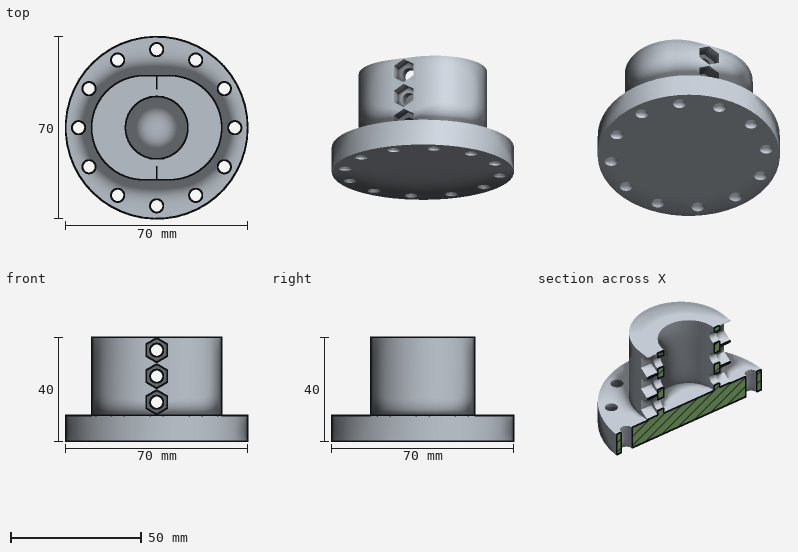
import cadquery as cq

flange_diameter = 70.0
flange_thickness = 10.0
bolt_circle_diameter = 60.0
bolt_hole_count = 12
bolt_hole_diameter = 5.0

hub_length = 50.0
hub_width = 40.0
hub_height = 30.0

bore_diameter = 24.0
bore_depth = hub_height

screw_count = 3
screw_pitch = 10.0
screw_hole_diameter = 5.0
nut_across_corners = 9.3
nut_pocket_depth = 5.0

total_height = flange_thickness + hub_height
first_screw_z = flange_thickness + screw_pitch / 2


def make_flange():
    """Round flange with a full circle of bolt holes, one of them on the +X axis."""
    flange = cq.Workplane("XY").circle(flange_diameter / 2).extrude(flange_thickness)
    bolt_holes = (
        cq.Workplane("XY")
        .polarArray(bolt_circle_diameter / 2, 0, 360, bolt_hole_count)
        .circle(bolt_hole_diameter / 2)
        .extrude(flange_thickness)
    )
    return flange.cut(bolt_holes)


def make_hub():
    """Obround hub with its flat sides facing -Y and +Y."""
    return (
        cq.Workplane("XY", origin=(0, 0, flange_thickness))
        .slot2D(hub_length, hub_width)
        .extrude(hub_height)
    )


def make_bore():
    return (
        cq.Workplane("XY", origin=(0, 0, total_height))
        .circle(bore_diameter / 2)
        .extrude(-bore_depth)
    )


def make_nut_pocket(start_y, z):
    """Hexagonal pocket running from start_y toward -Y, with two corners on its vertical centre line."""
    return (
        cq.Workplane("XZ", origin=(0, start_y, z))
        .transformed(rotate=(0, 0, 90))
        .polygon(6, nut_across_corners)
        .extrude(nut_pocket_depth)
    )


def make_screw_cut(z):
    """Screw hole through both hub walls, with a nut pocket in each flat side."""
    hole = (
        cq.Workplane("XZ", origin=(0, hub_width / 2, z))
        .circle(screw_hole_diameter / 2)
        .extrude(hub_width)
    )
    back_pocket = make_nut_pocket(hub_width / 2, z)
    front_pocket = make_nut_pocket(nut_pocket_depth - hub_width / 2, z)
    return hole.union(back_pocket).union(front_pocket)


result = make_flange().union(make_hub()).cut(make_bore())
for index in range(screw_count):
    result = result.cut(make_screw_cut(first_screw_z + index * screw_pitch))